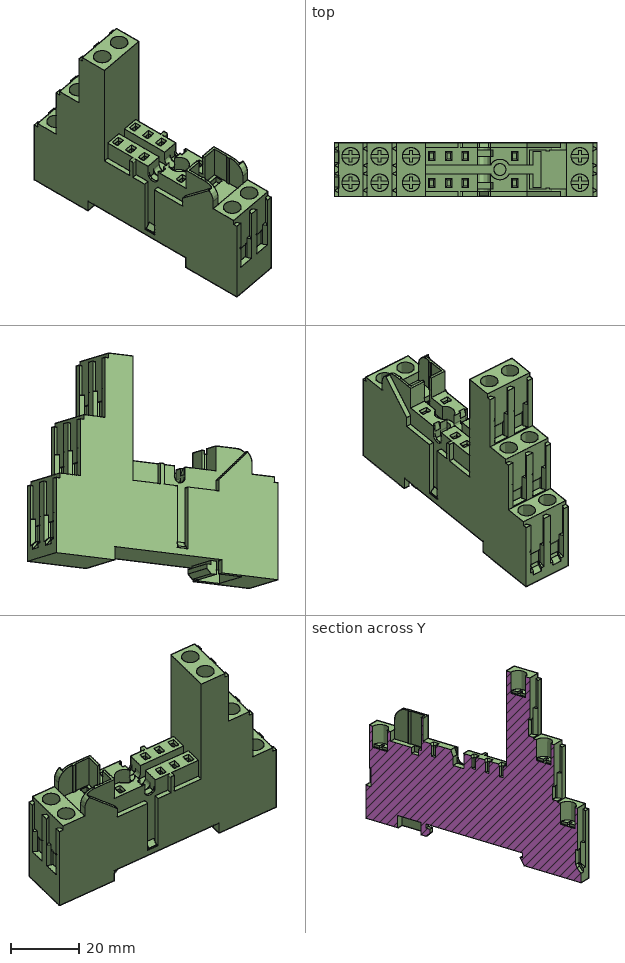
import cadquery as cq
import math

length = 77.0
width = 15.8
half_width = width / 2
base_height = 30.6
end_ledge_height = 29.0
ledge_depth = 1.25

tiers = [
    {"face": 0.0, "ledge": 22.5, "top": 23.9, "funnel_drop": 10.2},
    {"face": 8.35, "ledge": 40.85, "top": 42.2, "funnel_drop": 8.4},
    {"face": 16.95, "ledge": 60.1, "top": 61.5, "funnel_drop": 9.0},
]
tower_back = 26.7

groove_pitch = 7.36
groove_width = 4.9
dovetail_flare = 0.65
wire_hole_pitch = 7.2
wire_hole_width = 3.62
wire_hole_top_drop = 12.3
wire_hole_depth = 0.6
first_entry_bottom = 4.35
sill_rise = 1.2
entry_floor_gap = 0.4
lip_width = 2.95
lip_height = 1.2
lip_edge_rise = 0.25
lip_edge_depth = 1.4

screw_x = [4.8, 13.3, 22.5, 71.9]
screw_pitch = 7.75
screw_well_diameter = 5.1
screw_well_depth = 6.0
drive_depth = 0.8
drive_slot_width = 0.95
drive_cross_width = 0.85
drive_cross_length = 3.4

side_recess_depth = 1.5
recess_floor = 24.4
fin_start = 36.2
fin_end = 37.5
fin_round = 0.5
inner_half_width = half_width - side_recess_depth
channel_width = 2.55
channel_floor = 25.6

cross_slot_start = 42.0
cross_slot_end = 45.7
cross_slot_bottom = 25.7
side_slot_bottom = 6.0
catch_ramp_top = 8.0
catch_ramp_bottom = 6.5
catch_setback = 0.12
catch_width = 2.75
latch_inner_y = 3.8
latch_outer_y = 5.75
latch_lead_in = 0.8
latch_lead_in_height = 2.2

mount_x = 48.5
mount_well_diameter = 6.0
mount_hole_diameter = 3.5
mount_hole_depth = 6.0

contact_x = [28.5, 33.5, 38.4, 52.8]
contact_pitch = 7.85
contact_mouth = (1.95, 2.65)
contact_throat = (1.1, 1.8)
contact_mouth_depth = 0.8
contact_depth = 4.0

housing_start = 56.4
housing_end = 68.0
housing_top = 38.05
housing_round = 4.4
brace_foot_z = 27.7
brace_top_x = 66.2
brace_top_z = 36.85
cavity_start = 57.2
cavity_half_width = 5.7
cavity_floor = 27.5
cross_bar_start = 58.2
cross_bar_end = 60.5
cross_bar_half_width = 5.3
rib_start = 62.0
rib_end = 63.0
rib_height = 0.25

rail_start = 20.4
rail_end = 57.55
rail_depth = 3.95
fixed_hook_neck = 20.95
fixed_hook_tip = (21.9, 2.3)
fixed_hook_shoulder = (21.4, 2.55)
slider_neck = 55.45
slider_tip = 54.0
slider_tip_bottom = 1.45
slider_tip_top = 2.8
hook_half_width = 5.15
slider_slot_half_width = 6.05
slider_slot_end = 65.5
slider_back = 57.3


def box(x0, x1, y0, y1, z0, z1):
    return cq.Workplane("XY").box(x1 - x0, y1 - y0, z1 - z0, centered=False).translate((x0, y0, z0))


def extrude_xz(points, y0, y1):
    """Prism with an XZ outline, running from y0 to y1."""
    return cq.Workplane("XZ", origin=(0, y0, 0)).polyline(points).close().extrude(y0 - y1)


def extrude_xy(points, z0, z1):
    """Prism with an XY outline, running from z0 to z1."""
    return cq.Workplane("XY", origin=(0, 0, z0)).polyline(points).close().extrude(z1 - z0)


def both_sides(shape):
    return shape.union(shape.mirror("XZ"))


def make_body():
    outline = cq.Workplane("XZ", origin=(0, half_width, 0)).moveTo(0, 0)
    next_faces = [tier["face"] for tier in tiers[1:]] + [tower_back]
    for tier, next_face in zip(tiers, next_faces):
        outline = outline.lineTo(tier["face"], tier["ledge"])
        outline = outline.lineTo(tier["face"] + ledge_depth, tier["ledge"])
        outline = outline.lineTo(tier["face"] + ledge_depth, tier["top"])
        outline = outline.lineTo(next_face, tier["top"])
    round_mid = housing_round * math.sqrt(0.5)
    round_x = housing_end - housing_round
    round_z = housing_top - housing_round
    return (
        outline.lineTo(tower_back, base_height)
        .lineTo(housing_start, base_height)
        .lineTo(housing_start, housing_top)
        .lineTo(round_x, housing_top)
        .threePointArc((round_x + round_mid, round_z + round_mid), (housing_end, round_z))
        .lineTo(housing_end, base_height)
        .lineTo(length - ledge_depth, base_height)
        .lineTo(length - ledge_depth, end_ledge_height)
        .lineTo(length, end_ledge_height)
        .lineTo(length, 0)
        .lineTo(rail_end, 0)
        .lineTo(rail_end, rail_depth)
        .lineTo(rail_start, rail_depth)
        .lineTo(rail_start, 0)
        .close()
        .extrude(width)
    )


def wire_entry(ledge, bottom, rise, funnel_drop, side):
    """Cutter for one wire entry in a face at x = 0 cut toward +X; side is +1 or -1 in Y."""
    groove_y = side * groove_pitch / 2
    hole_y = side * wire_hole_pitch / 2
    mouth = (groove_y - groove_width / 2, groove_y + groove_width / 2)
    throat = (hole_y - wire_hole_width / 2, hole_y + wire_hole_width / 2)
    groove = extrude_xy(
        [
            (0, mouth[0]),
            (0, mouth[1]),
            (ledge_depth, mouth[1] + dovetail_flare),
            (ledge_depth, mouth[0] - dovetail_flare),
        ],
        ledge - funnel_drop,
        ledge,
    )
    funnel = extrude_xy(
        [(0, mouth[0]), (0, mouth[1]), (ledge_depth, throat[1]), (ledge_depth, throat[0])],
        bottom,
        ledge - funnel_drop,
    )
    hole_back = ledge_depth + wire_hole_depth
    hole_top = ledge - wire_hole_top_drop
    hole = box(ledge_depth, hole_back, throat[0], throat[1], bottom + rise, hole_top)
    cutter = groove.union(funnel).union(hole)
    if rise > 0:
        sill = extrude_xz(
            [(0, bottom), (ledge_depth, bottom + rise), (ledge_depth, bottom)],
            mouth[0],
            mouth[1],
        )
        lip = extrude_xz(
            [
                (0, bottom - lip_height),
                (lip_edge_depth, bottom + lip_edge_rise),
                (hole_back, bottom + rise),
                (0, bottom + rise),
            ],
            hole_y - lip_width / 2,
            hole_y + lip_width / 2,
        )
        cutter = cutter.cut(sill).union(lip)
    return cutter


def cut_wire_entries(body):
    for index, tier in enumerate(tiers):
        bottom = tiers[index - 1]["top"] + entry_floor_gap if index else first_entry_bottom
        rise = 0 if index else sill_rise
        for side in (-1, 1):
            entry = wire_entry(tier["ledge"], bottom, rise, tier["funnel_drop"], side)
            body = body.cut(entry.translate((tier["face"], 0, 0)))
    lowest = tiers[0]
    end_bottom = end_ledge_height - lowest["ledge"] + first_entry_bottom
    for side in (-1, 1):
        entry = wire_entry(end_ledge_height, end_bottom, 0, lowest["funnel_drop"], side)
        body = body.cut(entry.mirror("YZ").translate((length, 0, 0)))
    return body


def screw_well(x, y, top):
    floor = top - screw_well_depth
    well = cq.Workplane("XY", origin=(x, y, floor)).circle(screw_well_diameter / 2).extrude(screw_well_depth)
    disc = cq.Workplane("XY", origin=(x, y, floor - drive_depth)).circle(screw_well_diameter / 2)
    drive = cq.Workplane("XY", origin=(x, y, floor - drive_depth))
    slot = drive.rect(screw_well_diameter, drive_slot_width).extrude(drive_depth)
    slot = slot.intersect(disc.extrude(drive_depth))
    cross = drive.rect(drive_cross_width, drive_cross_length).extrude(drive_depth)
    return well.union(slot).union(cross)


def cut_screw_wells(body):
    tops = [tier["top"] for tier in tiers] + [base_height]
    for x, top in zip(screw_x, tops):
        for side in (-1, 1):
            body = body.cut(screw_well(x, side * screw_pitch / 2, top))
    return body


def cut_side_recesses(body):
    recess = extrude_xz(
        [
            (tower_back, recess_floor),
            (housing_start, recess_floor),
            (housing_start, brace_foot_z),
            (brace_top_x, brace_top_z),
            (brace_top_x, housing_top),
            (tower_back, housing_top),
        ],
        -half_width,
        -inner_half_width,
    )
    fin = box(fin_start, fin_end, -half_width, -inner_half_width, recess_floor, base_height)
    fin = fin.edges("|Y and >X and >Z").fillet(fin_round)
    return body.cut(both_sides(recess.cut(fin)))


def cut_cross_slot(body):
    """Round-bottomed slot across the deck, with square latch windows near its ends."""
    slot_width = cross_slot_end - cross_slot_start
    radius = slot_width / 2
    centre_x = cross_slot_start + radius
    centre_z = cross_slot_bottom + radius
    slot = box(cross_slot_start, cross_slot_end, -half_width, half_width, centre_z, base_height)
    bottom = cq.Workplane("XZ", origin=(centre_x, half_width, centre_z)).circle(radius).extrude(width)
    latch = extrude_xz(
        [
            (cross_slot_start, cross_slot_bottom),
            (cross_slot_end, cross_slot_bottom),
            (cross_slot_end, base_height - latch_lead_in_height),
            (cross_slot_end + latch_lead_in, base_height),
            (cross_slot_start, base_height),
        ],
        latch_inner_y,
        latch_outer_y,
    )
    return body.cut(slot.union(bottom)).cut(both_sides(latch))


def cut_side_slots(body):
    """Vertical slot down each side face, with a ramped catch standing on its floor."""
    mid_x = (cross_slot_start + cross_slot_end) / 2
    catch_y = -half_width + catch_setback
    slot = box(
        cross_slot_start, cross_slot_end, -half_width, -inner_half_width, side_slot_bottom, recess_floor
    )
    catch = (
        cq.Workplane("YZ", origin=(mid_x - catch_width / 2, 0, 0))
        .moveTo(-inner_half_width, side_slot_bottom)
        .lineTo(catch_y, side_slot_bottom)
        .lineTo(catch_y, catch_ramp_bottom)
        .lineTo(-inner_half_width, catch_ramp_top)
        .close()
        .extrude(catch_width)
    )
    return body.cut(both_sides(slot.cut(catch)))


def cut_channel_and_mount(body):
    half_channel = channel_width / 2
    channel = box(tower_back, cross_bar_start, -half_channel, half_channel, channel_floor, housing_top)
    well_height = base_height - channel_floor
    mount = cq.Workplane("XY", origin=(mount_x, 0, channel_floor))
    well = mount.circle(mount_well_diameter / 2).extrude(well_height)
    hole = mount.circle(mount_hole_diameter / 2).extrude(-mount_hole_depth)
    return body.cut(channel).cut(well).cut(hole)


def cut_contacts(body):
    for x in contact_x:
        for side in (-1, 1):
            place = cq.Workplane("XY", origin=(x, side * contact_pitch / 2, base_height))
            mouth = (
                place.rect(*contact_mouth)
                .workplane(offset=-contact_mouth_depth)
                .rect(*contact_throat)
                .loft(ruled=True)
            )
            throat = place.rect(*contact_throat).extrude(-contact_depth)
            body = body.cut(mouth).cut(throat)
    return body


def cut_housing(body):
    """Clip cavity open toward +X, with a guide rib on each wall and a deeper cross bar."""
    wall_y = -cavity_half_width
    cavity = box(cavity_start, housing_end, wall_y, -wall_y, cavity_floor, housing_top)
    rib = box(rib_start, rib_end, wall_y, wall_y + rib_height, cavity_floor, housing_top)
    bar_y = cross_bar_half_width
    cross_bar = box(cross_bar_start, cross_bar_end, -bar_y, bar_y, channel_floor, cavity_floor)
    return body.cut(cavity.cut(both_sides(rib))).cut(cross_bar)


def add_rail_hooks(body):
    slider_slot = box(
        rail_end, slider_slot_end, -slider_slot_half_width, slider_slot_half_width, 0, rail_depth
    )
    fixed_hook = extrude_xz(
        [
            (rail_start, 0),
            fixed_hook_tip,
            fixed_hook_shoulder,
            (fixed_hook_neck, fixed_hook_shoulder[1]),
            (fixed_hook_neck, rail_depth),
            (rail_start, rail_depth),
        ],
        -hook_half_width,
        hook_half_width,
    )
    slider_hook = extrude_xz(
        [
            (slider_back, 0),
            (slider_neck, 0),
            (slider_tip, slider_tip_bottom),
            (slider_tip, slider_tip_top),
            (slider_neck, slider_tip_top),
            (slider_neck, rail_depth),
            (slider_back, rail_depth),
        ],
        -hook_half_width,
        hook_half_width,
    )
    return body.cut(slider_slot).union(fixed_hook).union(slider_hook)


body = make_body()
body = cut_side_recesses(body)
body = cut_wire_entries(body)
body = cut_screw_wells(body)
body = cut_cross_slot(body)
body = cut_side_slots(body)
body = cut_channel_and_mount(body)
body = cut_contacts(body)
body = cut_housing(body)
result = add_rail_hooks(body)